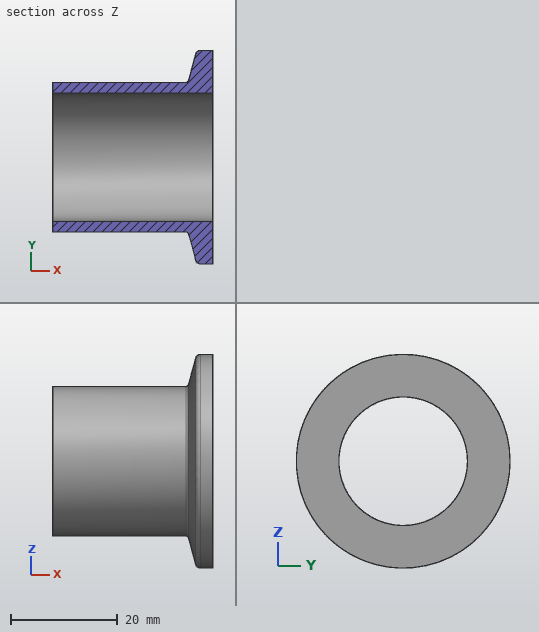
import cadquery as cq
import math

overall_length = 30.0
tube_outer_diameter = 28.0
bore_diameter = 24.0
flange_diameter = 40.0
rim_width = 2.3
cone_angle = 15.0
rim_edge_radius = 1.0
neck_fillet_radius = 0.5

tube_radius = tube_outer_diameter / 2
bore_radius = bore_diameter / 2
flange_radius = flange_diameter / 2
half_length = overall_length / 2
cone_slope = math.tan(math.radians(cone_angle))

rim_edge_turn = math.radians(90 - cone_angle)
rim_edge_tangent = rim_edge_radius * math.tan(rim_edge_turn / 2)
cone_outer_x = half_length - rim_width - rim_edge_tangent
cone_inner_x = cone_outer_x - (flange_radius - tube_radius) * cone_slope


def circle_edge_at(x, radius):
    """Select the circular edge of the given radius around the X axis at position x."""
    tolerance = 0.01
    return cq.selectors.BoxSelector(
        (x - tolerance, -radius - tolerance, -radius - tolerance),
        (x + tolerance, radius + tolerance, radius + tolerance),
        boundingbox=True,
    )


def make_flanged_tube():
    """Revolve the half section of the tube and its conical-backed clamp flange."""
    section = (
        cq.Workplane("XY")
        .moveTo(-half_length, bore_radius)
        .lineTo(-half_length, tube_radius)
        .lineTo(cone_inner_x, tube_radius)
        .lineTo(cone_outer_x, flange_radius)
        .lineTo(half_length, flange_radius)
        .lineTo(half_length, bore_radius)
        .close()
    )
    return section.revolve(360, (0, 0, 0), (1, 0, 0))


def round_flange_edges(body):
    """Round the rim edge of the cone and fillet its neck into the tube."""
    body = body.edges(circle_edge_at(cone_outer_x, flange_radius)).fillet(rim_edge_radius)
    return body.edges(circle_edge_at(cone_inner_x, tube_radius)).fillet(neck_fillet_radius)


result = round_flange_edges(make_flanged_tube())